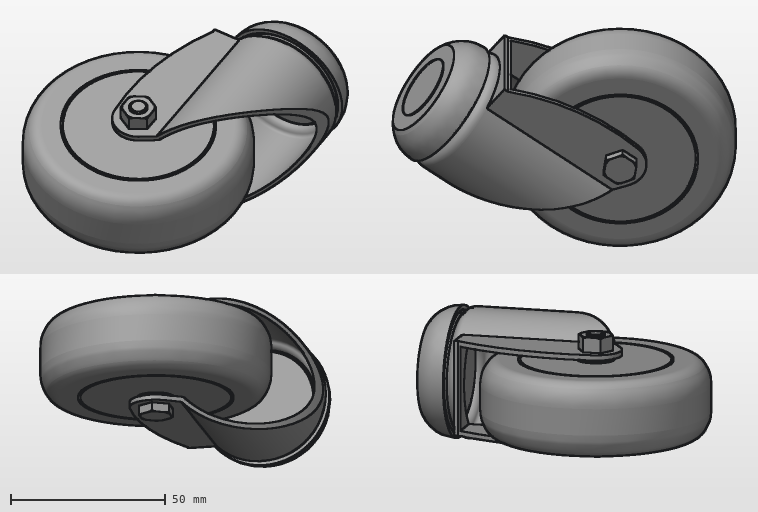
import cadquery as cq
import math


wheel_radius = 37.5
wheel_half_width = 12.5
tread_half_width = 4.4
crown_radius = 10.0
edge_radius = 5.0
groove_outer_radius = 50.5 / 2
groove_inner_radius = 49.0 / 2
groove_depth = 1.0
hub_radius = 12.0 / 2
hub_projection = 0.5

bolt_radius = 6.0 / 2
hex_across_flats = 10.0
hex_clip_diameter = 10.5
bolt_head_height = 3.0
nut_height = 5.0
bolt_end_projection = 0.5

swivel_x = 24.0
shell_radius = 43.0 / 2
bore_radius = 39.5 / 2
sheet = shell_radius - bore_radius
cheek_inner_z = 14.0
cheek_outer_z = cheek_inner_z + sheet
fork_top_y = 47.6
fork_ceiling_y = 45.4
rear_face_height = 1.3
bevel_height = 0.6
bevel_inset = 0.15
foot_radius = 8.5
rear_arc_radius = 83.5
front_arc_radius = 96.7
front_arc_top_y = 43.9

shoulder_radius = 20.1
shoulder_y = 50.3
neck_radius = 38.5 / 2
neck_top_y = 51.4
cavity_shoulder_radius = 18.8
cavity_shoulder_y = 49.0
throat_radius = 17.2
throat_bottom_y = 51.0
throat_top_y = 51.9
ceiling_radius = 33.0 / 2
ceiling_y = 51.4

spigot_radius = 19.0
cap_bottom_y = 52.0
cap_skirt_radius = 40.31 / 2
cap_groove_depth = 1.0
lip_radius = 43.31 / 2
lip_height = 0.3
dome_top_radius = 17.5
dome_top_y = 61.2
cap_face_radius = 16.1
cap_face_y = 62.2
cap_pad_radius = 21.2 / 2
cap_top_y = 62.5


def cylinder_z(radius, z_bottom, z_top):
    return cq.Workplane("XY").workplane(offset=z_bottom).circle(radius).extrude(z_top - z_bottom)


def cylinder_y(radius, y_bottom, y_top):
    """Cylinder about the swivel axis."""
    plane = cq.Workplane("XZ", origin=(swivel_x, y_bottom, 0))
    return plane.circle(radius).extrude(y_bottom - y_top)


def box_between(x_range, y_range, z_range):
    sizes = [high - low for low, high in (x_range, y_range, z_range)]
    corner = (x_range[0], y_range[0], z_range[0])
    return cq.Workplane("XY").box(*sizes, centered=False).translate(corner)


def revolve_about_swivel(profile):
    return profile.close().revolve(360, (0, 0, 0), (0, 1, 0)).translate((swivel_x, 0, 0))


def point_on(center, radius, angle):
    return (center[0] + radius * math.cos(angle), center[1] + radius * math.sin(angle))


def foot_tangent_center(end, radius, side):
    """Center of an arc through `end` that wraps the foot circle tangentially.

    The center lies radius - foot_radius from the axle and radius from `end`;
    `side` (+1 or -1) picks one of the two solutions."""
    axle_distance = radius - foot_radius
    end_distance = math.hypot(*end)
    along = (axle_distance**2 - radius**2 + end_distance**2) / (2 * end_distance)
    across = side * math.sqrt(axle_distance**2 - along**2)
    ux, uy = end[0] / end_distance, end[1] / end_distance
    return (along * ux - across * uy, along * uy + across * ux)


def make_wheel():
    rise = wheel_half_width - tread_half_width - edge_radius
    join_angle = math.asin(rise / (crown_radius - edge_radius))
    mid_angle = (join_angle + math.pi / 2) / 2
    crown_center = (wheel_radius - crown_radius, tread_half_width)
    edge_center = point_on(crown_center, crown_radius - edge_radius, join_angle)
    profile = (
        cq.Workplane("XZ")
        .moveTo(0, tread_half_width)
        .lineTo(wheel_radius, tread_half_width)
        .threePointArc(
            point_on(crown_center, crown_radius, join_angle / 2),
            point_on(crown_center, crown_radius, join_angle),
        )
        .threePointArc(
            point_on(edge_center, edge_radius, mid_angle),
            (edge_center[0], wheel_half_width),
        )
        .lineTo(groove_outer_radius, wheel_half_width)
        .lineTo(groove_inner_radius, wheel_half_width - groove_depth)
        .lineTo(groove_inner_radius, wheel_half_width)
        .lineTo(hub_radius, wheel_half_width)
        .lineTo(hub_radius, wheel_half_width + hub_projection)
        .lineTo(0, wheel_half_width + hub_projection)
        .close()
    )
    upper_side = profile.revolve(360, (0, 0, 0), (0, 1, 0))
    tread_band = cylinder_z(wheel_radius, -tread_half_width, tread_half_width)
    wheel = tread_band.union(upper_side).union(upper_side.mirror("XY"))
    return wheel.cut(cylinder_z(bolt_radius, -wheel_radius, wheel_radius))


def make_fork_outline():
    """Side shape of the fork in the XY plane, as a block through its full width."""
    front_x = swivel_x + shell_radius
    rear_start = (0, fork_top_y - rear_face_height)
    front_end = (front_x, front_arc_top_y)
    rear_center = foot_tangent_center(rear_start, rear_arc_radius, -1)
    front_center = foot_tangent_center(front_end, front_arc_radius, 1)

    rear_foot_angle = math.atan2(-rear_center[1], -rear_center[0])
    front_foot_angle = math.atan2(-front_center[1], -front_center[0])
    rear_top_angle = math.atan2(rear_start[1] - rear_center[1], rear_start[0] - rear_center[0])
    front_top_angle = math.atan2(front_end[1] - front_center[1], front_end[0] - front_center[0])
    rear_mid_angle = (rear_top_angle % math.tau + rear_foot_angle % math.tau) / 2
    front_mid_angle = (front_top_angle + front_foot_angle) / 2

    axle = (0, 0)
    outline = (
        cq.Workplane("XY")
        .workplane(offset=-shell_radius)
        .moveTo(0, fork_top_y)
        .lineTo(*rear_start)
        .threePointArc(
            point_on(rear_center, rear_arc_radius, rear_mid_angle),
            point_on(axle, foot_radius, rear_foot_angle),
        )
        .threePointArc(
            (0, -foot_radius),
            point_on(axle, foot_radius, front_foot_angle),
        )
        .threePointArc(
            point_on(front_center, front_arc_radius, front_mid_angle),
            front_end,
        )
        .lineTo(front_x, fork_top_y)
        .close()
    )
    return outline.extrude(2 * shell_radius)


def make_cheek_block(x_range, y_range):
    """Solid block as wide as the cheeks, its two top edges slightly bevelled."""
    top_z = cheek_outer_z - bevel_inset
    bevel_y = y_range[1] - bevel_height
    section = [
        (y_range[0], -cheek_outer_z),
        (bevel_y, -cheek_outer_z),
        (y_range[1], -top_z),
        (y_range[1], top_z),
        (bevel_y, cheek_outer_z),
        (y_range[0], cheek_outer_z),
    ]
    plane = cq.Workplane("YZ", origin=(x_range[0], 0, 0))
    return plane.polyline(section).close().extrude(x_range[1] - x_range[0])


def make_fork():
    """U-shaped sheet: two flat cheeks joined by a half-round front wall, closed on top."""
    x_range = (-wheel_radius, swivel_x)
    y_range = (-wheel_radius, fork_top_y)
    outside = make_cheek_block(x_range, y_range)
    outside = outside.union(cylinder_y(shell_radius, *y_range))
    y_range = (-wheel_radius, fork_ceiling_y)
    inside = box_between(x_range, y_range, (-cheek_inner_z, cheek_inner_z))
    inside = inside.union(cylinder_y(bore_radius, *y_range))
    return outside.intersect(make_fork_outline()).cut(inside)


def make_neck_and_cap():
    profile = (
        cq.Workplane("XY")
        .moveTo(0, fork_ceiling_y)
        .lineTo(shell_radius, fork_ceiling_y)
        .lineTo(shell_radius, fork_top_y)
        .tangentArcPoint((shoulder_radius, shoulder_y), relative=False)
        .tangentArcPoint((neck_radius, neck_top_y), relative=False)
        .lineTo(spigot_radius, neck_top_y)
        .lineTo(spigot_radius, cap_bottom_y + cap_groove_depth)
        .lineTo(cap_skirt_radius, cap_bottom_y + cap_groove_depth)
        .lineTo(cap_skirt_radius, cap_bottom_y)
        .lineTo(lip_radius, cap_bottom_y)
        .lineTo(lip_radius, cap_bottom_y + lip_height)
        .tangentArcPoint((dome_top_radius, dome_top_y), relative=False)
        .lineTo(cap_face_radius, cap_face_y)
        .lineTo(cap_pad_radius, cap_face_y)
        .lineTo(cap_pad_radius, cap_top_y)
        .lineTo(0, cap_top_y)
    )
    return revolve_about_swivel(profile)


def make_neck_cavity():
    """Hollow of the neck, open to the inside of the fork."""
    profile = (
        cq.Workplane("XY")
        .moveTo(0, fork_ceiling_y)
        .lineTo(bore_radius, fork_ceiling_y)
        .lineTo(bore_radius, fork_top_y)
        .tangentArcPoint((cavity_shoulder_radius, cavity_shoulder_y), relative=False)
        .tangentArcPoint((throat_radius, throat_bottom_y), relative=False)
        .lineTo(throat_radius, throat_top_y)
        .lineTo(ceiling_radius, ceiling_y)
        .lineTo(0, ceiling_y)
    )
    return revolve_about_swivel(profile)


def make_hexagon(z_bottom, height):
    """Hexagon on the axle with corners along Y and its upper corners chamfered at 30 degrees."""
    across_corners = hex_across_flats / math.cos(math.pi / 6)
    prism = (
        cq.Workplane("XY")
        .polygon(6, across_corners)
        .extrude(height)
        .rotate((0, 0, 0), (0, 0, 1), 30)
    )
    clip_radius = hex_clip_diameter / 2
    clip_drop = (across_corners - clip_radius) * math.tan(math.pi / 6)
    clip = (
        cq.Workplane("XZ")
        .lineTo(across_corners, 0)
        .lineTo(across_corners, height - clip_drop)
        .lineTo(clip_radius, height)
        .lineTo(0, height)
        .close()
        .revolve(360, (0, 0, 0), (0, 1, 0))
    )
    return prism.intersect(clip).translate((0, 0, z_bottom))


def make_bolt():
    nut = make_hexagon(cheek_outer_z, nut_height)
    head = make_hexagon(cheek_outer_z, bolt_head_height).mirror("XY")
    bolt_end_z = cheek_outer_z + nut_height + bolt_end_projection
    shank = cylinder_z(bolt_radius, -cheek_outer_z, bolt_end_z)
    shank = shank.faces(">Z").chamfer(bolt_end_projection)
    return shank.union(nut).union(head)


def make_fork_assembly():
    fork = make_fork().union(make_neck_and_cap()).cut(make_neck_cavity())
    return fork.union(make_bolt())


wheel = make_wheel()
fork_assembly = make_fork_assembly()

result = cq.Compound.makeCompound([*wheel.solids().vals(), *fork_assembly.solids().vals()])